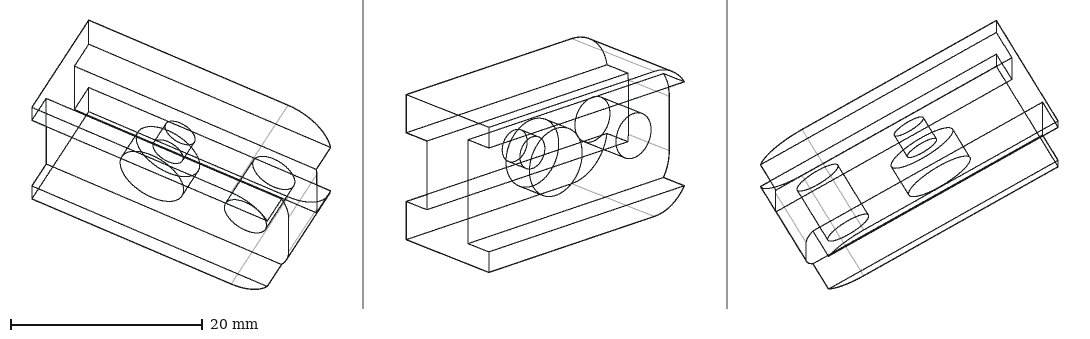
import cadquery as cq

length = 28.57
depth = 12.7
height = 16.25
corner_radius = 5.09

channel_depth = 3.2
front_channel_height = 11.63
back_channel_height = 7.69

screw_x = 12.45
screw_diameter = 3.55
counterbore_diameter = 7.49
counterbore_depth = 3.6
pin_x = length - corner_radius
pin_diameter = 4.97


def block():
    """Rectangular block with two rounded corners at its +X end."""
    box = cq.Workplane("XY").box(length, depth, height, centered=(False, False, True))
    return box.edges("|Y and >X").fillet(corner_radius)


def channel(start_y, channel_height):
    """Cutter for a full-length channel centred on the block's height."""
    return (
        cq.Workplane("XY")
        .box(length, channel_depth, channel_height, centered=(False, False, True))
        .translate((0, start_y, 0))
    )


def hole(x, diameter, start_y, hole_depth):
    """Cylindrical cutter running toward +Y at mid height."""
    start = cq.Vector(x, start_y, 0)
    return cq.Workplane(cq.Solid.makeCylinder(diameter / 2, hole_depth, start, cq.Vector(0, 1, 0)))


result = (
    block()
    .cut(channel(0, front_channel_height))
    .cut(channel(depth - channel_depth, back_channel_height))
    .cut(hole(screw_x, screw_diameter, 0, depth))
    .cut(hole(screw_x, counterbore_diameter, channel_depth, counterbore_depth))
    .cut(hole(pin_x, pin_diameter, 0, depth))
)